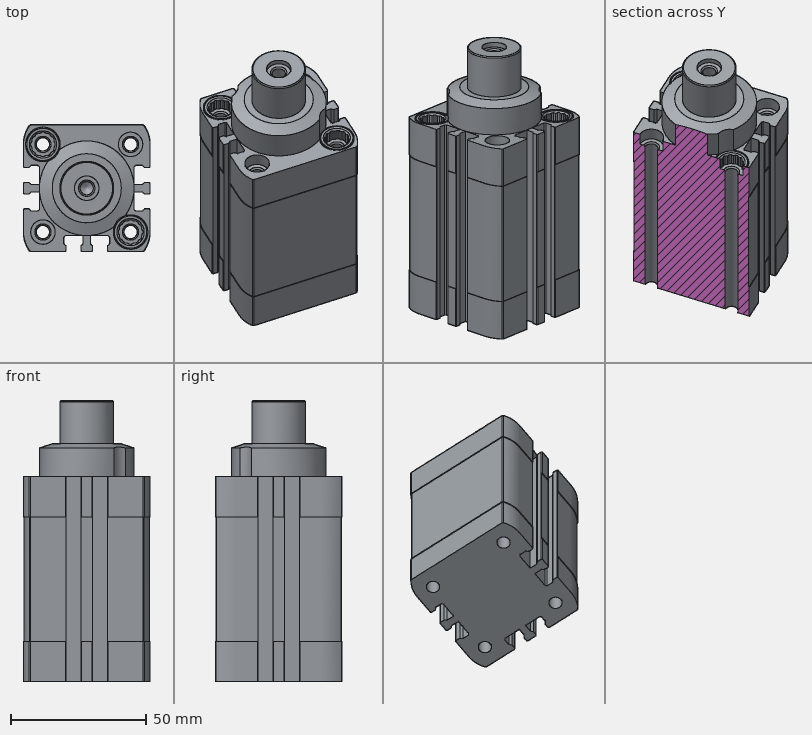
import cadquery as cq
import math

total_height = 104.0

block_width = 47.0
block_height = 76.0
cap_height = 15.0
tube_inset = 0.2
corner_radius = 12.2
corner_drop = 7.3
corner_flat_inset = 2.7
corner_bevel = 0.3

rib_half_width = 2.2
rib_half_neck = 1.5
slot_far_edge = 7.6
slot_far_wall = 8.4
slot_lip = 2.1
slot_lip_bevel = 0.8
slot_depth = 5.9
slot_floor_bevel = 0.5
slot_edge_bevel = 0.3

boss_diameter = 35.0
boss_top_diameter = 25.6
boss_top = 88.1
boss_cone_height = 1.6

hole_offset = 16.2
through_diameter = 4.9
thread_diameter = 6.0
counterbore_diameter = 9.0
counterbore_depth = 5.0

head_diameter = 12.8
head_bevel = 0.4
socket_flats = 8.2
socket_mouth_diameter = 10.1

rod_diameter = 20.0
rod_bevel = 0.4
rod_foot = block_height - cap_height
rod_counterbore_depth = 1.9
rod_hole_depth = 10.4
drill_tip_angle = 118.0

half_width = block_width / 2
plain_corners = [(-hole_offset, -hole_offset), (hole_offset, hole_offset)]
screw_corners = [(-hole_offset, hole_offset), (hole_offset, -hole_offset)]


def cylinder(diameter, bottom, top):
    return cq.Workplane("XY").workplane(offset=bottom).circle(diameter / 2).extrude(top - bottom)


def cone(bottom_diameter, top_diameter, bottom, top):
    """Cone about the Z axis, with a point at the bottom if the bottom diameter is zero."""
    outline = [(0, bottom)]
    if bottom_diameter > 0:
        outline.append((bottom_diameter / 2, bottom))
    outline += [(top_diameter / 2, top), (0, top)]
    return cq.Workplane("XZ").polyline(outline).close().revolve(360, (0, 0, 0), (0, 1, 0))


def bevelled_mouth(top):
    """Bevel that opens a hole from its core to the thread diameter."""
    depth = (thread_diameter - through_diameter) / 2
    return cone(through_diameter, thread_diameter, top - depth, top)


def block_outline():
    """Square with flat front and back and large arcs at its four corners."""
    flat_end = half_width - corner_flat_inset
    arc_y = half_width - corner_drop
    end_y = half_width - corner_bevel
    center_x = half_width - corner_radius
    end_x = center_x + math.sqrt(corner_radius**2 - (end_y - arc_y) ** 2)
    mid_angle = math.asin((end_y - arc_y) / corner_radius) / 2
    mid_x = center_x + corner_radius * math.cos(mid_angle)
    mid_y = arc_y + corner_radius * math.sin(mid_angle)
    return (
        cq.Workplane("XY")
        .moveTo(-flat_end, -half_width)
        .lineTo(flat_end, -half_width)
        .lineTo(end_x, -end_y)
        .threePointArc((mid_x, -mid_y), (half_width, -arc_y))
        .lineTo(half_width, arc_y)
        .threePointArc((mid_x, mid_y), (end_x, end_y))
        .lineTo(flat_end, half_width)
        .lineTo(-flat_end, half_width)
        .lineTo(-end_x, end_y)
        .threePointArc((-mid_x, mid_y), (-half_width, arc_y))
        .lineTo(-half_width, -arc_y)
        .threePointArc((-mid_x, -mid_y), (-end_x, -end_y))
        .close()
    )


def make_block():
    caps = block_outline().extrude(block_height)
    tube_height = block_height - 2 * cap_height
    band = cq.Workplane("XY").workplane(offset=cap_height).rect(2 * block_width, 2 * block_width)
    band = band.extrude(tube_height)
    tube = block_outline().offset2D(-tube_inset).extrude(tube_height)
    return caps.cut(band.cut(tube.translate((0, 0, cap_height))))


def slot_pair():
    """Two slots beside a T-shaped rib, cut into the front face."""
    face = -half_width
    lip = face + slot_lip
    neck = lip + slot_lip_bevel
    floor = face + slot_depth
    outline = [
        (rib_half_width - slot_edge_bevel, face),
        (rib_half_width, face + slot_edge_bevel),
        (rib_half_width, lip),
        (rib_half_neck, neck),
        (rib_half_neck, floor),
        (slot_far_wall - slot_floor_bevel, floor),
        (slot_far_wall, floor - slot_floor_bevel),
        (slot_far_wall, neck),
        (slot_far_edge, lip),
        (slot_far_edge, face + slot_edge_bevel),
        (slot_far_edge + slot_edge_bevel, face),
    ]
    slot = cq.Workplane("XY").polyline(outline).close().extrude(block_height)
    return slot.union(slot.mirror("YZ"))


def make_boss():
    cone_bottom = boss_top - boss_cone_height
    boss = cylinder(boss_diameter, block_height, cone_bottom)
    return boss.union(cone(boss_diameter, boss_top_diameter, cone_bottom, boss_top))


def plain_hole():
    floor = block_height - counterbore_depth
    hole = cylinder(through_diameter, 0, floor)
    return hole.union(cylinder(counterbore_diameter, floor, block_height)).union(bevelled_mouth(floor))


def screw_hole():
    """Everything removed at a screw head: boss notch, head bevel, socket and through hole."""
    notch = cylinder(head_diameter, block_height, boss_top)
    bevel_bottom = block_height - head_bevel
    groove = cylinder(head_diameter, bevel_bottom, block_height).cut(
        cone(head_diameter, head_diameter - 2 * head_bevel, bevel_bottom, block_height)
    )

    floor = block_height - counterbore_depth
    half_hexagon_turn = 360 / 12
    corner_diameter = socket_flats / math.cos(math.pi / 6)
    hexagon = cq.Workplane("XY").workplane(offset=floor).polygon(6, corner_diameter)
    hexagon = hexagon.extrude(counterbore_depth)
    socket = hexagon.union(hexagon.rotate((0, 0, 0), (0, 0, 1), half_hexagon_turn))
    socket = socket.intersect(cylinder(counterbore_diameter, floor, block_height))
    mouth_depth = (socket_mouth_diameter - socket_flats) / 2
    mouth = cone(socket_flats, socket_mouth_diameter, block_height - mouth_depth, block_height)

    hole = cylinder(through_diameter, 0, floor).union(bevelled_mouth(floor))
    return hole.union(socket).union(mouth).union(groove).union(notch)


def make_housing():
    housing = make_block()
    for angle in (-90, 0, 90):
        housing = housing.cut(slot_pair().rotate((0, 0, 0), (0, 0, 1), angle))
    housing = housing.union(make_boss())
    for x, y in plain_corners:
        housing = housing.cut(plain_hole().translate((x, y, 0)))
    for x, y in screw_corners:
        housing = housing.cut(screw_hole().translate((x, y, 0)))
    return housing.cut(cylinder(rod_diameter, rod_foot, boss_top))


def make_rod():
    rod = cylinder(rod_diameter, rod_foot, total_height).faces(">Z").chamfer(rod_bevel)
    floor = total_height - rod_counterbore_depth
    hole_bottom = floor - rod_hole_depth
    tip_height = through_diameter / 2 / math.tan(math.radians(drill_tip_angle / 2))
    rod = rod.cut(cylinder(counterbore_diameter, floor, total_height))
    rod = rod.cut(bevelled_mouth(floor))
    rod = rod.cut(cylinder(through_diameter, hole_bottom, floor))
    return rod.cut(cone(0, through_diameter, hole_bottom - tip_height, hole_bottom))


housing = make_housing()
rod = make_rod()
result = cq.Compound.makeCompound([housing.val(), rod.val()])